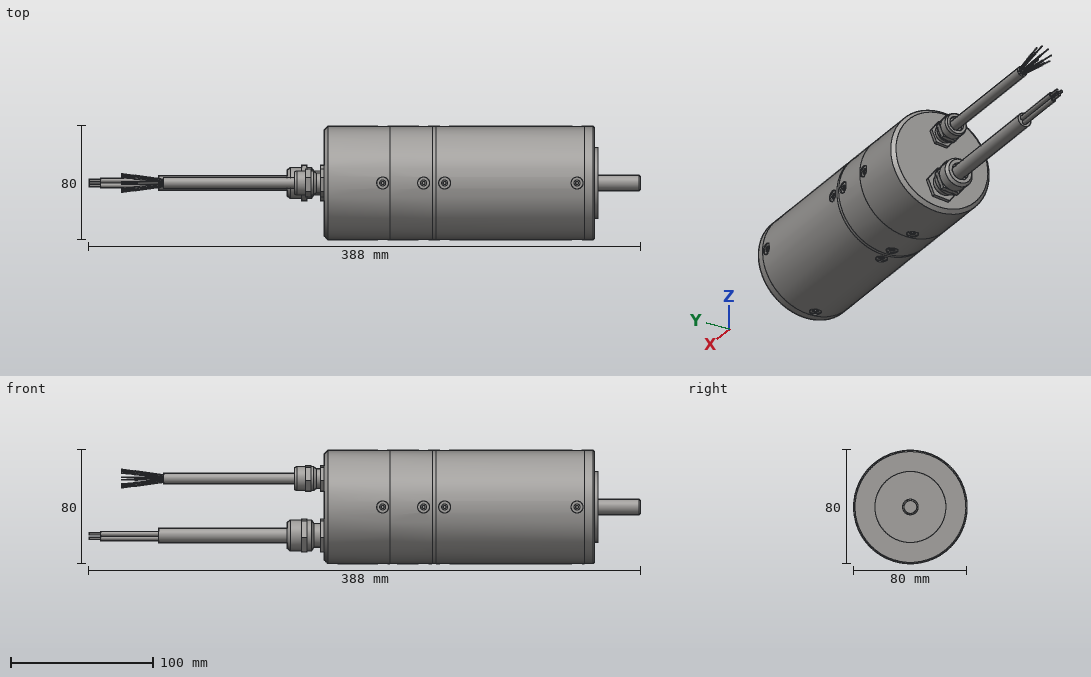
import cadquery as cq
import math


OVERALL_LENGTH = 388.0

HOUSING_DIA = 80.0
SLEEVE_DIA = 79.99
REAR_CHAMFER = 2.7
FRONT_CHAMFER = 1.0
REAR_CAP_END = 46.3
GEARBOX_END = 76.1
RING_END = 78.6
BODY_END = 183.3
HOUSING_END = 190.3

BOSS_DIA = 50.0
BOSS_END = 192.8
SHAFT_DIA = 11.0
SHAFT_END = 222.7
SHAFT_CHAMFER = 1.0

SCREW_POSITIONS = (41.2, 70.0, 84.8, 178.0)
SCREWS_PER_ROW = 4
SCREW_SEAT_DIA = 8.4
SCREW_SEAT_DEPTH = 1.0
SCREW_BORE_DIA = 4.2
SCREW_BORE_DEPTH = 1.5
SCREW_SOCKET_FLATS = 2.0
SCREW_SOCKET_DEPTH = 2.5

CABLE_OFFSET = 20.0
GLAND_TURN = 7.0
HEX_SIDES = 6
GLAND_BORE_DEPTH = 3.0
WIRE_EMBED = 2.0

SIGNAL_GLAND_STATIONS = (-21.0, -19.2, -13.0, -9.3, -7.5, -5.5, -2.7)
SIGNAL_GLAND_FLATS = 17.0
SIGNAL_GLAND_FACE_DIA = 15.5
SIGNAL_GLAND_NECK_DIA = 14.0
SIGNAL_GLAND_BORE_DIA = 11.0

POWER_GLAND_STATIONS = (-26.0, -23.6, -15.8, -12.2, -9.0, -7.2, -2.7)
POWER_GLAND_FLATS = 22.0
POWER_GLAND_FACE_DIA = 18.4
POWER_GLAND_NECK_DIA = 17.0
POWER_GLAND_BORE_DIA = 13.0

SIGNAL_JACKET_DIA = 7.5
SIGNAL_JACKET_END = -113.0
SIGNAL_INSULATION_DIA = 1.0
SIGNAL_INSULATION_END = -133.2
SIGNAL_STRAND_DIA = 0.5
SIGNAL_STRAND_END = -142.7
SIGNAL_WIRES = 8
SIGNAL_EXIT_RADIUS = 2.25
SIGNAL_FIRST_ANGLE = -8.0
SIGNAL_SPLAY_RADIUS = 6.5

POWER_JACKET_DIA = 10.4
POWER_JACKET_END = -116.5
POWER_CORE_DIA = 3.5
POWER_CORE_END = -157.3
POWER_STRAND_DIA = 1.8
POWER_STRAND_END = SHAFT_END - OVERALL_LENGTH
POWER_CORES = 3
POWER_CORE_RADIUS = 2.03


def rod(x_start, x_end, diameter, y=0.0, z=0.0):
    """Cylinder parallel to X between two X positions."""
    start = cq.Vector(min(x_start, x_end), y, z)
    length = abs(x_end - x_start)
    return cq.Workplane(cq.Solid.makeCylinder(diameter / 2, length, start, cq.Vector(1, 0, 0)))


def cone(x_start, dia_start, x_end, dia_end, z):
    """Truncated cone parallel to X, widening or narrowing between two X positions."""
    start = cq.Vector(x_start, 0, z)
    length = x_end - x_start
    return cq.Workplane(cq.Solid.makeCone(dia_start / 2, dia_end / 2, length, start, cq.Vector(1, 0, 0)))


def hexagon(x_start, x_end, flats, z):
    """Hexagonal prism parallel to X, given by its width across flats."""
    corner_dia = flats / math.cos(math.pi / HEX_SIDES)
    return (
        cq.Workplane("YZ")
        .polygon(HEX_SIDES, corner_dia)
        .extrude(x_end - x_start)
        .rotate((0, 0, 0), (1, 0, 0), GLAND_TURN)
        .translate((x_start, 0, z))
    )


def wire(start, end, diameter):
    """Straight cylinder between two points."""
    axis = end - start
    return cq.Workplane(cq.Solid.makeCylinder(diameter / 2, axis.Length, start, axis))


def housing():
    body = rod(0, REAR_CAP_END, HOUSING_DIA).faces("<X").chamfer(REAR_CHAMFER)
    body = body.union(rod(REAR_CAP_END, GEARBOX_END, SLEEVE_DIA))
    body = body.union(rod(GEARBOX_END, RING_END, HOUSING_DIA))
    body = body.union(rod(RING_END, BODY_END, SLEEVE_DIA))
    front_cap = rod(BODY_END, HOUSING_END, HOUSING_DIA).faces(">X").chamfer(FRONT_CHAMFER)
    return body.union(front_cap)


def output_shaft():
    boss = rod(HOUSING_END, BOSS_END, BOSS_DIA)
    shaft = rod(HOUSING_END, SHAFT_END, SHAFT_DIA).faces(">X").chamfer(SHAFT_CHAMFER)
    return boss.union(shaft)


def screw_recess(x):
    """Stepped recess of the screw on the +Z side: round seat, bore and hexagonal socket."""
    top = cq.Workplane("XY", origin=(x, 0, HOUSING_DIA / 2))
    seat = top.circle(SCREW_SEAT_DIA / 2).extrude(-SCREW_SEAT_DEPTH)
    bore = top.circle(SCREW_BORE_DIA / 2).extrude(-SCREW_BORE_DEPTH)
    socket_corners = SCREW_SOCKET_FLATS / math.cos(math.pi / HEX_SIDES)
    socket = top.polygon(HEX_SIDES, socket_corners).extrude(-SCREW_SOCKET_DEPTH)
    return seat.union(bore).union(socket)


def screw_recesses():
    """Rows of screw recesses spaced evenly round the housing."""
    recesses = []
    for x in SCREW_POSITIONS:
        recess = screw_recess(x)
        for index in range(SCREWS_PER_ROW):
            angle = index * 360 / SCREWS_PER_ROW
            recesses.append(recess.rotate((0, 0, 0), (1, 0, 0), angle))
    return recesses


def cable_gland(z, flats, face_dia, neck_dia, bore_dia, stations):
    """Cable gland: chamfered dome nut, hexagon, round body tapering to a neck, and a hexagonal foot.

    The stations are the X positions where one stretch ends and the next begins, rear end first.
    """
    face, nut, body_hex, body, taper, neck, foot = stations
    gland = cone(face, face_dia, nut, flats, z)
    gland = gland.union(rod(nut, body_hex, flats, z=z))
    gland = gland.union(hexagon(body_hex, body, flats, z))
    gland = gland.union(rod(body, taper, flats, z=z))
    gland = gland.union(cone(taper, flats, neck, neck_dia, z))
    gland = gland.union(rod(neck, foot, neck_dia, z=z))
    gland = gland.union(hexagon(foot, 0, flats, z))
    return gland.cut(rod(face, face + GLAND_BORE_DEPTH, bore_dia, z=z))


def signal_gland():
    return cable_gland(
        CABLE_OFFSET,
        SIGNAL_GLAND_FLATS,
        SIGNAL_GLAND_FACE_DIA,
        SIGNAL_GLAND_NECK_DIA,
        SIGNAL_GLAND_BORE_DIA,
        SIGNAL_GLAND_STATIONS,
    )


def power_gland():
    return cable_gland(
        -CABLE_OFFSET,
        POWER_GLAND_FLATS,
        POWER_GLAND_FACE_DIA,
        POWER_GLAND_NECK_DIA,
        POWER_GLAND_BORE_DIA,
        POWER_GLAND_STATIONS,
    )


def signal_wire(start, end):
    """Insulated wire with a bare strand, running straight from the jacket end to the strand end."""
    run = end - start
    length = SIGNAL_JACKET_END - SIGNAL_STRAND_END
    insulated_share = (SIGNAL_JACKET_END - SIGNAL_INSULATION_END) / length
    embed = run * (WIRE_EMBED / length)
    insulation_end = start + run * insulated_share
    insulation = wire(start - embed, insulation_end, SIGNAL_INSULATION_DIA)
    return insulation.union(wire(insulation_end - embed, end, SIGNAL_STRAND_DIA))


def signal_point(x, radius, angle):
    """Point at a given distance and direction from the signal cable axis."""
    turn = math.radians(angle)
    return cq.Vector(x, radius * math.cos(turn), CABLE_OFFSET + radius * math.sin(turn))


def signal_cable():
    cable = rod(SIGNAL_JACKET_END, 0, SIGNAL_JACKET_DIA, z=CABLE_OFFSET)
    for index in range(SIGNAL_WIRES):
        angle = SIGNAL_FIRST_ANGLE + index * 360 / SIGNAL_WIRES
        start = signal_point(SIGNAL_JACKET_END, SIGNAL_EXIT_RADIUS, angle)
        end = signal_point(SIGNAL_STRAND_END, SIGNAL_SPLAY_RADIUS, angle)
        cable = cable.union(signal_wire(start, end))
    return cable


def power_cable():
    cable = rod(POWER_JACKET_END, 0, POWER_JACKET_DIA, z=-CABLE_OFFSET)
    for index in range(POWER_CORES):
        angle = 2 * math.pi * index / POWER_CORES - math.pi / 2
        y = POWER_CORE_RADIUS * math.cos(angle)
        z = POWER_CORE_RADIUS * math.sin(angle) - CABLE_OFFSET
        cable = cable.union(rod(POWER_JACKET_END + WIRE_EMBED, POWER_CORE_END, POWER_CORE_DIA, y, z))
        cable = cable.union(rod(POWER_CORE_END + WIRE_EMBED, POWER_STRAND_END, POWER_STRAND_DIA, y, z))
    return cable


result = housing().union(output_shaft())
for recess in screw_recesses():
    result = result.cut(recess)
for feature in (signal_gland(), signal_cable(), power_gland(), power_cable()):
    result = result.union(feature)